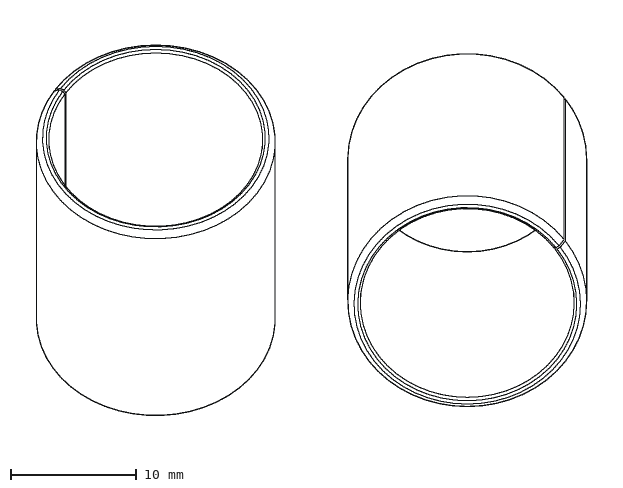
import cadquery as cq

outer_diameter = 19.0
bore_diameter = 17.0
length = 25.0
outer_chamfer = 0.5
bore_chamfer = 0.2
slit_angle = 1.0

outer_radius = outer_diameter / 2
bore_radius = bore_diameter / 2
wedge_reach = outer_diameter


def wall_tube():
    """Plain tube standing on the XY plane, with its axis along Z."""
    return cq.Workplane("XY").circle(outer_radius).circle(bore_radius).extrude(length)


def chamfer_outer_rims(body):
    """Chamfer the outer edge at both ends."""
    return body.edges("%CIRCLE").edges(cq.selectors.RadiusNthSelector(-1)).chamfer(outer_chamfer)


def chamfer_bore_rims(body):
    """Chamfer the bore edge at both ends."""
    return body.edges("%CIRCLE").edges(cq.selectors.RadiusNthSelector(0)).chamfer(bore_chamfer)


def slit_wedge():
    """Narrow wedge from the axis through the -X wall, opening from the XZ plane towards +Y."""
    return (
        cq.Workplane("XZ")
        .rect(-wedge_reach, length, centered=False)
        .revolve(slit_angle, (0, 0, 0), (0, -1, 0))
    )


sleeve = chamfer_bore_rims(chamfer_outer_rims(wall_tube()))
result = sleeve.cut(slit_wedge())